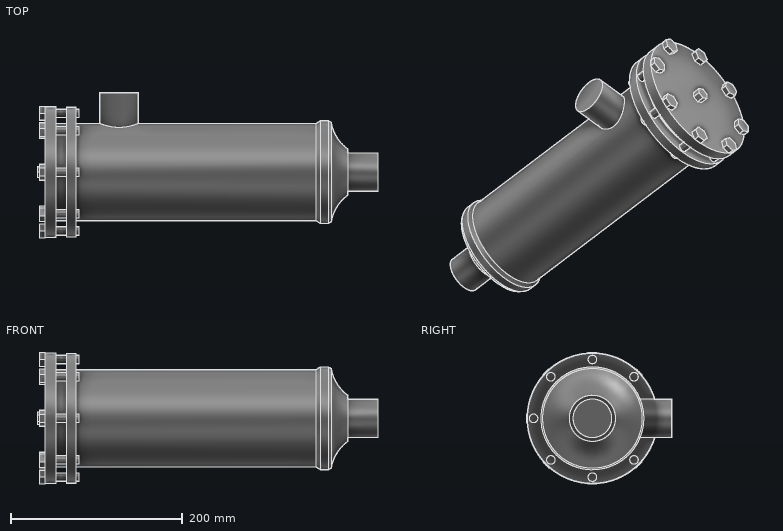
import cadquery as cq
import math

overall_length = 398.5

FULL_TURN = 360.0
RIGHT_ANGLE = 90.0
HEX_SIDES = 6

shell_diameter = 114.0
collar_diameter = 120.39
collar_start = 326.0
collar_ramp_length = 4.8
collar_land_length = 9.4
shoulder_length = 3.5
cap_shoulder_diameter = 116.5
cap_waist_diameter = 81.5
cap_waist_offset = 6.6
cap_end_diameter = 54.0
outlet_diameter = 45.1
outlet_length = 35.5

bolt_head_start = 2.5
bolt_head_height = 6.4
cover_diameter = 153.0
cover_thickness = 13.0
flange_diameter = 152.0
flange_thickness = 11.5
flange_gap = 12.0
bolt_count = 8
bolt_circle_diameter = 137.5
bolt_diameter = 10.0
bolt_head_across_flats = 16.5
bolt_protrusion = 3.5
plug_across_flats = 13.0

inlet_diameter = 45.1
inlet_position = 95.5
inlet_reach = 93.0

cover_start = bolt_head_start + bolt_head_height
cover_end = cover_start + cover_thickness
flange_start = cover_end + flange_gap
flange_end = flange_start + flange_thickness
bolt_end = flange_end + bolt_protrusion


def cylinder_x(diameter, start, end):
    """Cylinder on the vessel axis between two X positions."""
    return cq.Workplane("YZ", origin=(start, 0, 0)).circle(diameter / 2).extrude(end - start)


def hex_prism_x(across_flats, start, end):
    """Hexagonal prism on the vessel axis with corners pointing up and down."""
    across_corners = across_flats / math.cos(math.pi / HEX_SIDES)
    prism = cq.Workplane("YZ", origin=(start, 0, 0)).polygon(HEX_SIDES, across_corners).extrude(end - start)
    return prism.rotate((0, 0, 0), (1, 0, 0), RIGHT_ANGLE)


def make_shell_and_cap():
    """Shell, raised collar, concave reducer and outlet pipe as one revolved profile."""
    land_start = collar_start + collar_ramp_length
    land_end = land_start + collar_land_length
    shoulder_end = land_end + shoulder_length
    outlet_start = overall_length - outlet_length
    profile = (
        cq.Workplane("XY")
        .moveTo(cover_end, 0)
        .lineTo(cover_end, shell_diameter / 2)
        .lineTo(collar_start, shell_diameter / 2)
        .lineTo(land_start, collar_diameter / 2)
        .lineTo(land_end, collar_diameter / 2)
        .lineTo(shoulder_end, cap_shoulder_diameter / 2)
        .threePointArc(
            (shoulder_end + cap_waist_offset, cap_waist_diameter / 2),
            (outlet_start, cap_end_diameter / 2),
        )
        .lineTo(outlet_start, outlet_diameter / 2)
        .lineTo(overall_length, outlet_diameter / 2)
        .lineTo(overall_length, 0)
        .close()
    )
    return profile.revolve(FULL_TURN, (0, 0, 0), (1, 0, 0))


def make_inlet():
    """Side pipe from the vessel axis out to its open end."""
    pipe = cq.Workplane("XZ", origin=(inlet_position, 0, 0)).circle(inlet_diameter / 2)
    return pipe.extrude(-inlet_reach)


def make_bolt(angle):
    """Bolt through cover and flange, with one head flat facing radially outward."""
    head = hex_prism_x(bolt_head_across_flats, bolt_head_start, cover_start)
    shank = cylinder_x(bolt_diameter, cover_start, bolt_end)
    bolt = head.union(shank).translate((0, bolt_circle_diameter / 2, 0))
    return bolt.rotate((0, 0, 0), (1, 0, 0), angle)


result = make_shell_and_cap().union(make_inlet())
result = result.union(cylinder_x(cover_diameter, cover_start, cover_end))
result = result.union(cylinder_x(flange_diameter, flange_start, flange_end))
result = result.union(hex_prism_x(plug_across_flats, 0, cover_start))
for bolt_index in range(bolt_count):
    result = result.union(make_bolt(bolt_index * FULL_TURN / bolt_count))